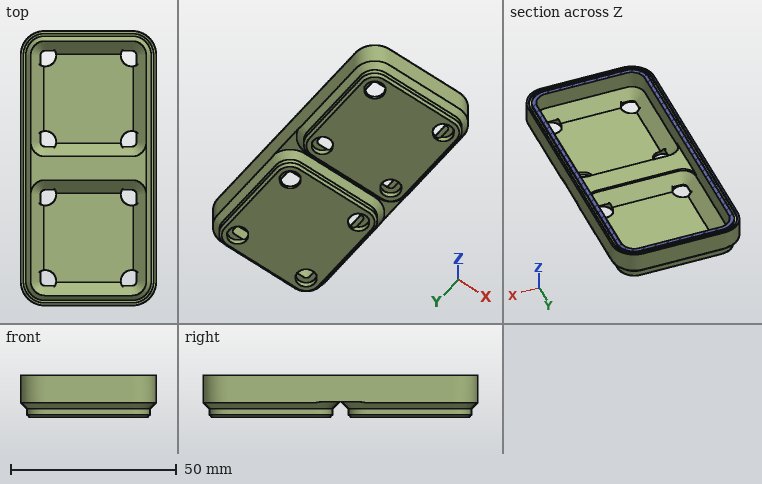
import cadquery as cq

width = 41.0
length = 83.0
height = 12.8
corner_radius = 7.3
cell_pitch = length - width
cell_centers = [(0, -cell_pitch / 2), (0, cell_pitch / 2)]

foot_top_width = 41.5
foot_chamfer = 0.8
foot_band = 1.75
foot_flare = 2.15
foot_height = foot_chamfer + foot_band + foot_flare

rim_thickness = 0.8
ridge_foot_inset = 1.6
crest_inset = 3.1
groove_depth = 2.5
ridge_bevel_height = 1.8

divider_top = 5.7
pocket_slope_top = 5.1
pocket_floor = 1.1
pocket_slope_run = 4.0

hole_diameter = 6.5
hole_depth = 2.1
hole_offset = 13.0


def outline(inset, size=(width, length), radius=corner_radius):
    """Rounded rectangle moved inward by inset, keeping the corner centers."""
    return cq.Sketch().rect(size[0] - 2 * inset, size[1] - 2 * inset).vertices().fillet(radius - inset)


def prism(sketch, bottom, top):
    return cq.Workplane("XY").workplane(offset=bottom).placeSketch(sketch).extrude(top - bottom)


def frustum(bottom_sketch, bottom, top_sketch, top):
    rise = cq.Location(cq.Vector(0, 0, top - bottom))
    sections = cq.Workplane("XY").workplane(offset=bottom).placeSketch(bottom_sketch, top_sketch.moved(rise))
    return sections.loft(ruled=True)


def at_cells(solid):
    first, second = [solid.translate((x, y, 0)) for x, y in cell_centers]
    return first.union(second)


def foot():
    foot_radius = corner_radius + (foot_top_width - width) / 2

    def section(inset):
        return outline(inset, (foot_top_width, foot_top_width), foot_radius)

    band = section(foot_flare)
    band_top = foot_chamfer + foot_band
    base = frustum(section(foot_flare + foot_chamfer), 0, band, foot_chamfer)
    middle = prism(band, foot_chamfer, band_top)
    flare = frustum(band, band_top, section(0), foot_height)
    return base.union(middle).union(flare)


def groove():
    bottom = height - groove_depth
    bevel_bottom = height - ridge_bevel_height
    channel = prism(outline(rim_thickness), bottom, height)
    ridge_foot = prism(outline(ridge_foot_inset), bottom, bevel_bottom)
    ridge_bevel = frustum(outline(ridge_foot_inset), bevel_bottom, outline(crest_inset), height)
    return channel.cut(ridge_foot).cut(ridge_bevel)


def pocket():
    def section(inset):
        return outline(inset, (width, width))

    floor = section(crest_inset + pocket_slope_run)
    slope = frustum(floor, pocket_floor, section(crest_inset), pocket_slope_top)
    return slope.union(prism(section(crest_inset), pocket_slope_top, divider_top))


def corner_holes():
    spacing = 2 * hole_offset
    return cq.Workplane("XY").rarray(spacing, spacing, 2, 2).circle(hole_diameter / 2).extrude(hole_depth)


feet = at_cells(foot()).intersect(prism(outline(0), 0, foot_height))
body = prism(outline(0), foot_height, height).union(feet)
body = body.cut(prism(outline(crest_inset), divider_top, height))
body = body.cut(groove())
result = body.cut(at_cells(pocket())).cut(at_cells(corner_holes()))